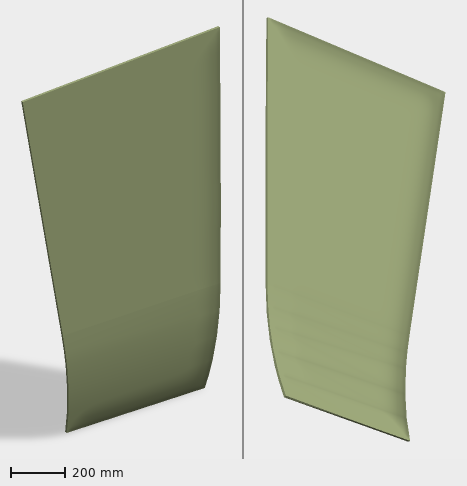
import cadquery as cq
import math

HEIGHT = 1565.0
WIDTH = 894.0
DEPTH = 106.0
THICKNESS = 10.0

REAR_CORNER_INSET = 5.0
FRONT_TOP_DROP = 39.0
FRONT_BOTTOM_RISE = 6.0
BOTTOM_WIDTH = 629.0

BEND_HEIGHT = 485.0
BEND_OFFSET = 97.0
OUTER_RADIUS = (BEND_HEIGHT**2 + BEND_OFFSET**2) / (2 * BEND_OFFSET)
INNER_RADIUS = OUTER_RADIUS - THICKNESS
OUTER_X = DEPTH
INNER_X = DEPTH - THICKNESS
BEND_CENTER_X = OUTER_X - OUTER_RADIUS
BEND_ANGLE = math.asin(BEND_HEIGHT / OUTER_RADIUS)


def bend_point(radius, angle):
    """Point (x, z) on the bend, measured downwards from the tangent line."""
    x = BEND_CENTER_X + radius * math.cos(angle)
    z = BEND_HEIGHT - radius * math.sin(angle)
    return x, z


def curved_sheet():
    """Flat sheet with its foot curled towards -X, extruded over the full width."""
    return (
        cq.Workplane("XZ")
        .moveTo(INNER_X, HEIGHT)
        .lineTo(OUTER_X, HEIGHT)
        .lineTo(OUTER_X, BEND_HEIGHT)
        .threePointArc(bend_point(OUTER_RADIUS, BEND_ANGLE / 2), bend_point(OUTER_RADIUS, BEND_ANGLE))
        .lineTo(*bend_point(INNER_RADIUS, BEND_ANGLE))
        .threePointArc(bend_point(INNER_RADIUS, BEND_ANGLE / 2), (INNER_X, BEND_HEIGHT))
        .close()
        .extrude(WIDTH)
    )


def side_outline():
    """Tapered four-sided outline with a slightly bowed rear edge, as a cutting prism along X."""
    return (
        cq.Workplane("YZ")
        .moveTo(-REAR_CORNER_INSET, 0)
        .lineTo(-BOTTOM_WIDTH, FRONT_BOTTOM_RISE)
        .lineTo(-WIDTH, HEIGHT - FRONT_TOP_DROP)
        .lineTo(-REAR_CORNER_INSET, HEIGHT)
        .threePointArc((0, HEIGHT / 2), (-REAR_CORNER_INSET, 0))
        .close()
        .extrude(2 * DEPTH, both=True)
    )


result = curved_sheet().intersect(side_outline())